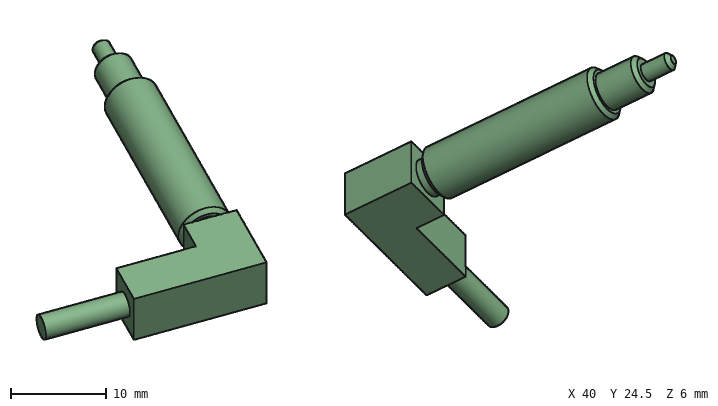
import cadquery as cq

TIP_DIAMETER = 2.0
NECK_DIAMETER = 4.3
BARREL_DIAMETER = 6.0
TIP_LENGTH = 3.5
NOSE_LENGTH = 5.0
BARREL_LENGTH = 22.0
COLLAR_LENGTH = 1.0
CHAMFER = 0.5

OVERALL_LENGTH = 40.0
OVERALL_DEPTH = 24.5
BLOCK_SIZE = BARREL_DIAMETER
BLOCK_DEPTH = 15.0
LEG_WIDTH = 5.0
CABLE_DIAMETER = 2.75

nose_start = TIP_LENGTH
barrel_start = nose_start + NOSE_LENGTH
barrel_end = barrel_start + BARREL_LENGTH
block_start = barrel_end + COLLAR_LENGTH
back_y = BLOCK_SIZE / 2
block_front_y = back_y - BLOCK_DEPTH
leg_start = OVERALL_LENGTH - LEG_WIDTH


def cylinder_along_x(start, end, diameter, chamfered_edges=None):
    """Round section on the X axis, with a chamfer on the selected end edges."""
    section = cq.Workplane("YZ", origin=(start, 0, 0)).circle(diameter / 2).extrude(end - start)
    if chamfered_edges:
        section = section.faces(chamfered_edges).edges().chamfer(CHAMFER)
    return section


def connector_block():
    """L-shaped block joining the barrel to the cable."""
    outline = [
        (block_start, back_y),
        (OVERALL_LENGTH, back_y),
        (OVERALL_LENGTH, block_front_y),
        (leg_start, block_front_y),
        (leg_start, -back_y),
        (block_start, -back_y),
    ]
    return cq.Workplane("XY", origin=(0, 0, -BLOCK_SIZE / 2)).polyline(outline).close().extrude(BLOCK_SIZE)


def cable():
    """Round cable centred on the end face of the leg."""
    length = OVERALL_DEPTH - BLOCK_DEPTH
    end_face = cq.Workplane("XZ", origin=(leg_start + LEG_WIDTH / 2, block_front_y, 0))
    return end_face.circle(CABLE_DIAMETER / 2).extrude(length)


tip = cylinder_along_x(0, nose_start, TIP_DIAMETER, "<X")
nose = cylinder_along_x(nose_start, barrel_start, NECK_DIAMETER, "<X")
barrel = cylinder_along_x(barrel_start, barrel_end, BARREL_DIAMETER, "<X or >X")
collar = cylinder_along_x(barrel_end, block_start, NECK_DIAMETER)

result = tip.union(nose).union(barrel).union(collar).union(connector_block()).union(cable())